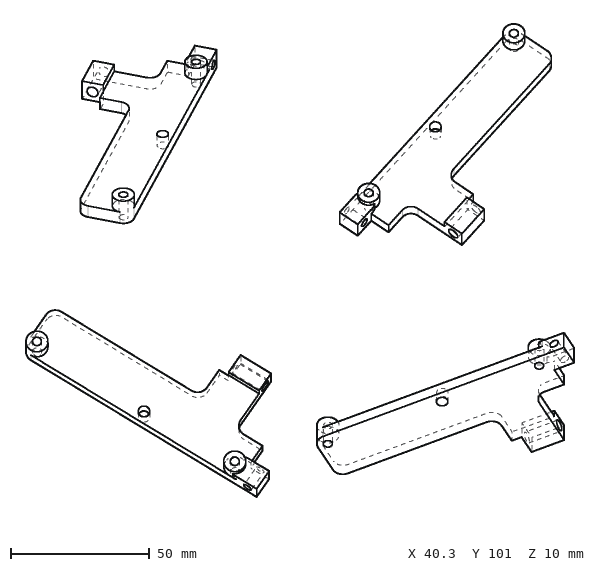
import cadquery as cq

length = 101.0
width = 40.3
boss_height = 10.0
plate_height = boss_height / 2
block_height = 8.0
boss_diameter = 8.0
corner_radius = boss_diameter / 2

stem_width = 20.1
neck_width = 16.2
arm_reach = 32.2
block_width = 8.0
block_length = 13.1
arm_length = 17.1
arm_top = 81.0
arm_bottom = arm_top - arm_length

tab_width = 8.3
tab_overhang = 8.0
tab_bottom = 88.2
plate_top = length - tab_overhang

boss_hole_diameter = 3.2
boss_inset = boss_diameter / 2
plate_hole_diameter = 4.1
plate_hole_y = 50.0
block_hole_diameter = 4.1
tab_hole_diameter = 3.2
boss_points = [(-boss_inset, boss_inset), (-boss_inset, plate_top - boss_inset)]


def box_between(left, bottom, right, top, height):
    """Box standing on the underside plane between two opposite corners."""
    corner = cq.Workplane("XY", origin=(left, bottom, 0))
    return corner.box(right - left, top - bottom, height, centered=False)


def plate():
    """Flat plate: long stem, side arm and narrower neck."""
    stem = box_between(-stem_width, 0, 0, arm_top, plate_height)
    arm = box_between(-arm_reach, arm_bottom, 0, arm_top, plate_height)
    neck = box_between(-neck_width, arm_bottom, 0, plate_top, plate_height)
    body = stem.union(arm).union(neck)
    rounded_corners = [
        (-stem_width, 0),
        (0, 0),
        (-stem_width, arm_bottom),
        (-neck_width, arm_top),
    ]
    for x, y in rounded_corners:
        corner = cq.selectors.NearestToPointSelector((x, y, plate_height / 2))
        body = body.edges("|Z").edges(corner).fillet(corner_radius)
    return body


def hinge_block():
    """Raised block on the end of the arm, joined to it with the full block width."""
    block_right = block_width - width
    block = box_between(-width, arm_top - block_length, block_right, arm_top, block_height)
    link = box_between(block_right, arm_top - block_length, -arm_reach, arm_top, plate_height)
    return block.union(link)


def upright_cylinders(points, diameter):
    """Cylinders of the full part height, one centred on each point."""
    return cq.Workplane("XY").pushPoints(points).circle(diameter / 2).extrude(boss_height)


tab = box_between(-tab_width, tab_bottom, 0, length, block_height)
tab = tab.edges("|Z and <Y").fillet(corner_radius)
bosses = upright_cylinders(boss_points, boss_diameter)

block_bore = (
    cq.Workplane("XZ", origin=(-width + block_width / 2, length, block_height / 2))
    .circle(block_hole_diameter / 2)
    .extrude(length)
)
tab_bore = (
    cq.Workplane("YZ", origin=(-tab_width, length - tab_overhang / 2, block_height / 2))
    .circle(tab_hole_diameter / 2)
    .extrude(tab_width)
)

result = (
    plate()
    .union(hinge_block())
    .union(tab)
    .union(bosses)
    .cut(upright_cylinders(boss_points, boss_hole_diameter))
    .cut(upright_cylinders([(-boss_inset, plate_hole_y)], plate_hole_diameter))
    .cut(block_bore)
    .cut(tab_bore)
)